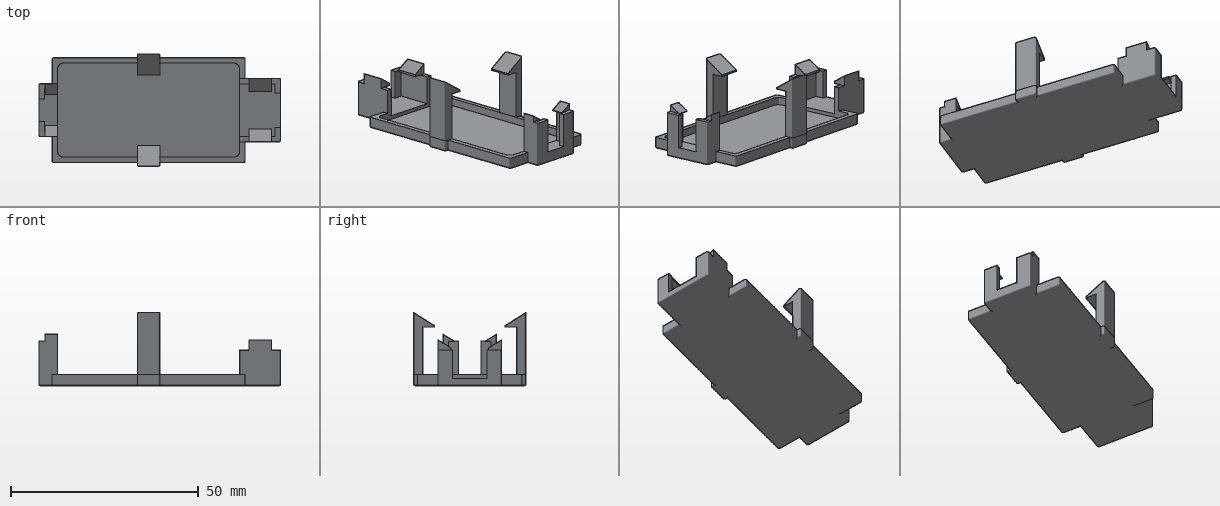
import cadquery as cq

TRAY_LENGTH = 51.5
TRAY_WIDTH = 28.0
RIM_HEIGHT = 3.0
WALL = 1.5
FLOOR = 1.0
POCKET_RADIUS = 1.5
EDGE_RADIUS = 0.5
POCKET_LENGTH = TRAY_LENGTH - 2 * WALL
POCKET_WIDTH = TRAY_WIDTH - 2 * WALL

CLIP_LENGTH = 6.05
CLIP_SPAN = 30.0
CLIP_HEIGHT = 19.55
CLIP_THICKNESS = 2.5
CLIP_REACH = 5.6
CLIP_UNDERSIDE = 15.6

OVERALL_LENGTH = 64.5
LEFT_END = -29.3
RIGHT_END = LEFT_END + OVERALL_LENGTH

LEFT_WIDTH = 14.2
LEFT_FLOOR = RIM_HEIGHT
LEFT_WALL_TOP = 12.0
LEFT_GAP = 6.0
LEFT_HOOK_TOP = 13.75
LEFT_HOOK_REACH = 2.95
LEFT_HOOK_UNDERSIDE = 11.75
LEFT_HOOK_SETBACK = 1.6

RIGHT_WIDTH = 16.95
RIGHT_FLOOR = 2.0
RIGHT_WALL_TOP = 9.5
RIGHT_GAP = 9.15
RIGHT_HOOK_TOP = 12.25
RIGHT_HOOK_REACH = 3.5
RIGHT_HOOK_UNDERSIDE = 9.5
RIGHT_HOOK_SETBACK = 2.45
RIGHT_HOOK_LENGTH = 6.05

HOOK_SLOPE = 0.63


def block(x_start, x_end, width, z_start, z_end):
    """Box centred on Y between the given X and Z limits."""
    return (
        cq.Workplane("XY")
        .box(x_end - x_start, width, z_end - z_start, centered=(False, True, False))
        .translate((x_start, 0, z_start))
    )


def hook(x_start, x_end, side, span, bottom, thickness, top, reach, underside):
    """Stem from bottom to underside, topped by a ramped barb pointing inward; side is +1 or -1 in Y."""
    outer = span / 2
    stem_inner = outer - thickness
    tip = outer - reach
    profile = [
        (outer, bottom),
        (outer, top),
        (tip, top - HOOK_SLOPE * reach),
        (tip, underside),
        (stem_inner, underside),
        (stem_inner, bottom),
    ]
    points = [(side * y, z) for y, z in profile]
    return (
        cq.Workplane("YZ", origin=(x_start, 0, 0))
        .polyline(points)
        .close()
        .extrude(x_end - x_start)
    )


def rounded_block(x_start, x_end, width, height, upright_edges):
    """Block on Z = 0 with the chosen upright edges and the bottom perimeter rounded."""
    return (
        block(x_start, x_end, width, 0, height)
        .edges(upright_edges)
        .fillet(EDGE_RADIUS)
        .faces("<Z")
        .edges()
        .fillet(EDGE_RADIUS)
    )


def add_bracket(base, end, width, floor, wall_top, gap, hook_limits, hook_top, hook_reach, hook_underside):
    """Add a U-shaped bracket that reaches from the pocket edge to the given end in X."""
    direction = 1 if end > 0 else -1
    pocket_edge = direction * POCKET_LENGTH / 2
    outer_edges = "|Z and >X" if direction > 0 else "|Z and <X"
    full_limits = sorted((pocket_edge, end))
    inside_limits = sorted((pocket_edge, end - direction * WALL))
    inside_width = width - 2 * WALL

    base = base.union(rounded_block(*full_limits, width, wall_top, outer_edges))
    base = base.cut(block(*inside_limits, inside_width, floor, wall_top))
    base = base.cut(block(*full_limits, gap, floor, wall_top))

    for side in (-1, 1):
        base = base.union(
            hook(*hook_limits, side, width, RIM_HEIGHT, WALL, hook_top, hook_reach, hook_underside)
        )
    return base


def make_base():
    """Pocketed tray with its clip tabs and both end brackets."""
    tray = rounded_block(-TRAY_LENGTH / 2, TRAY_LENGTH / 2, TRAY_WIDTH, RIM_HEIGHT, "|Z")
    tabs = rounded_block(-CLIP_LENGTH / 2, CLIP_LENGTH / 2, CLIP_SPAN, RIM_HEIGHT, "|Z")

    pocket = (
        block(-POCKET_LENGTH / 2, POCKET_LENGTH / 2, POCKET_WIDTH, FLOOR, RIM_HEIGHT)
        .edges("|Z")
        .fillet(POCKET_RADIUS)
    )
    base = tray.union(tabs).cut(pocket)

    left_hook_limits = (LEFT_END + LEFT_HOOK_SETBACK, -POCKET_LENGTH / 2)
    base = add_bracket(
        base, LEFT_END, LEFT_WIDTH, LEFT_FLOOR, LEFT_WALL_TOP, LEFT_GAP,
        left_hook_limits, LEFT_HOOK_TOP, LEFT_HOOK_REACH, LEFT_HOOK_UNDERSIDE,
    )

    right_hook_end = RIGHT_END - RIGHT_HOOK_SETBACK
    right_hook_limits = (right_hook_end - RIGHT_HOOK_LENGTH, right_hook_end)
    return add_bracket(
        base, RIGHT_END, RIGHT_WIDTH, RIGHT_FLOOR, RIGHT_WALL_TOP, RIGHT_GAP,
        right_hook_limits, RIGHT_HOOK_TOP, RIGHT_HOOK_REACH, RIGHT_HOOK_UNDERSIDE,
    )


def make_side_clip(side):
    """Tall hook standing on the rim, with its two outer upright edges rounded."""
    clip = hook(
        -CLIP_LENGTH / 2, CLIP_LENGTH / 2, side, CLIP_SPAN, RIM_HEIGHT,
        CLIP_THICKNESS, CLIP_HEIGHT, CLIP_REACH, CLIP_UNDERSIDE,
    )
    outer_face = ">Y" if side > 0 else "<Y"
    return clip.faces(outer_face).edges("|Z").fillet(EDGE_RADIUS)


base = make_base()
side_clips = [make_side_clip(side) for side in (-1, 1)]

result = cq.Compound.makeCompound([base.val(), *[clip.val() for clip in side_clips]])